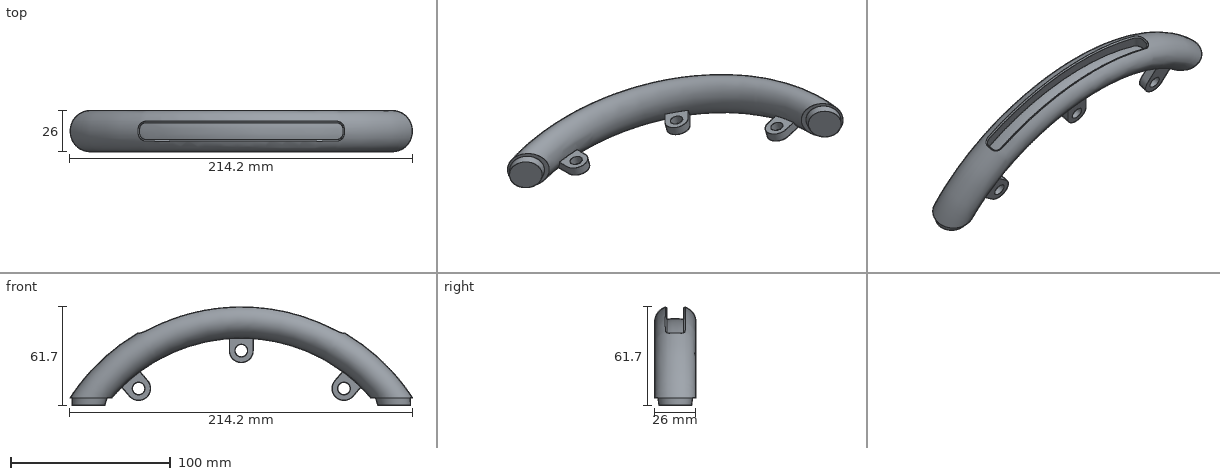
import cadquery as cq
import math

TUBE_WIDTH = 26.0
OUTER_RADIUS = 127.5
INNER_RADIUS = 106.5
CREST_HEIGHT = 63.0
AXIS_HEIGHT = CREST_HEIGHT - OUTER_RADIUS
TUBE_RADIUS = (OUTER_RADIUS + INNER_RADIUS) / 2
TUBE_HALF_DEPTH = (OUTER_RADIUS - INNER_RADIUS) / 2

FOOT_HEIGHT = 4.7
FOOT_TOP_RADIUS = 11.0
FOOT_BOTTOM_RADIUS = 10.3
FOOT_TOP_X = 94.8
FOOT_BOTTOM_X = 95.7

SLOT_LENGTH = 127.1
SLOT_WIDTH = 10.5
SLOT_CORNER = 3.9
SLOT_CHAMFER = 1.0
FLOOR_RADIUS = 119.0
FLOOR_CROWN = 0.6

LUG_RADIUS = 7.5
LUG_THICKNESS = 5.8
LUG_OFFSET_Y = 6.5
LUG_HOLE_DIAMETER = 7.7
LUG_CENTER_RADIUS = 98.9
LUG_ANGLES = (-40.5, 0, 40.5)


def about_arch_axis(profile):
    """Revolve an XY profile, with X as the radius, about the arch axis."""
    ring = profile.revolve(360, (0, 0, 0), (0, 1, 0))
    return ring.translate((0, 0, AXIS_HEIGHT))


def make_arch():
    section = cq.Workplane("XY").center(TUBE_RADIUS, 0).ellipse(TUBE_HALF_DEPTH, TUBE_WIDTH / 2)
    ring = section.revolve(360, (-TUBE_RADIUS, 0, 0), (-TUBE_RADIUS, 1, 0))
    ring = ring.translate((0, 0, AXIS_HEIGHT))
    above_feet = (
        cq.Workplane("XY", origin=(0, 0, FOOT_HEIGHT))
        .rect(2 * OUTER_RADIUS, 2 * TUBE_WIDTH)
        .extrude(CREST_HEIGHT)
    )
    return ring.intersect(above_feet)


def make_lug(angle):
    """One lug pointing at the arch axis, with its root buried in the tube."""
    root_length = TUBE_RADIUS - LUG_CENTER_RADIUS
    center_height = AXIS_HEIGHT + LUG_CENTER_RADIUS
    plane = cq.Workplane("XZ", origin=(0, LUG_OFFSET_Y, center_height))
    lug = plane.circle(LUG_RADIUS).extrude(LUG_THICKNESS / 2, both=True)
    root = (
        plane.center(0, root_length / 2)
        .rect(2 * LUG_RADIUS, root_length)
        .extrude(LUG_THICKNESS / 2, both=True)
    )
    hole = plane.circle(LUG_HOLE_DIAMETER / 2).extrude(LUG_THICKNESS, both=True)
    lug = lug.union(root).cut(hole)
    return lug.rotate((0, 0, AXIS_HEIGHT), (0, 1, AXIS_HEIGHT), angle)


def make_slot_cutter():
    """A vertical, round-cornered block whose underside is the crowned slot floor."""
    block = (
        cq.Workplane("XY", origin=(0, 0, FOOT_HEIGHT))
        .rect(SLOT_LENGTH, SLOT_WIDTH)
        .extrude(CREST_HEIGHT)
        .edges("|Z")
        .fillet(SLOT_CORNER)
    )
    half_width = SLOT_WIDTH / 2
    edge_radius = FLOOR_RADIUS - FLOOR_CROWN
    floor_profile = (
        cq.Workplane("XY")
        .moveTo(0, -half_width)
        .lineTo(edge_radius, -half_width)
        .threePointArc((FLOOR_RADIUS, 0), (edge_radius, half_width))
        .lineTo(0, half_width)
        .close()
    )
    return block.cut(about_arch_axis(floor_profile))


def find_slot_rim(arch):
    """Edges of the slot mouth: those lying on the tube surface around the slot."""
    rim = []
    for edge in arch.edges().vals():
        point = edge.positionAt(0.5)
        radius = math.hypot(point.x, point.z - AXIS_HEIGHT)
        on_slot = abs(point.y) <= SLOT_WIDTH / 2 + 0.02 and abs(point.x) <= SLOT_LENGTH / 2 + 0.02
        surface = TUBE_RADIUS + TUBE_HALF_DEPTH * math.sqrt(1 - (2 * point.y / TUBE_WIDTH) ** 2)
        if on_slot and abs(radius - surface) < 0.02:
            rim.append(edge)
    return rim


def make_housing():
    arch = make_arch().cut(make_slot_cutter())
    arch = arch.newObject(find_slot_rim(arch)).chamfer(SLOT_CHAMFER)
    for angle in LUG_ANGLES:
        arch = arch.union(make_lug(angle))
    return arch


def make_foot(side):
    return (
        cq.Workplane("XY")
        .center(side * FOOT_BOTTOM_X, 0)
        .circle(FOOT_BOTTOM_RADIUS)
        .workplane(offset=FOOT_HEIGHT)
        .center(side * (FOOT_TOP_X - FOOT_BOTTOM_X), 0)
        .circle(FOOT_TOP_RADIUS)
        .loft(ruled=True)
    )


housing = make_housing()
feet = [make_foot(side).val() for side in (-1, 1)]
result = cq.Compound.makeCompound([housing.val(), *feet])